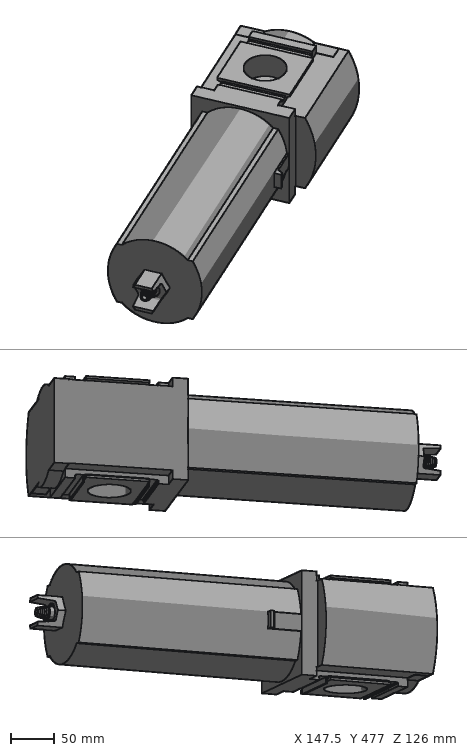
import cadquery as cq
import math


HALF_WIDTH = 61.0
HALF_HEIGHT = 123.5 / 2
STEP_HEIGHT = 51.0
COLLAR_LENGTH = 18.5
PORT_Y = 80.0
SEAM_Y = 2 * PORT_Y - COLLAR_LENGTH
CAP_END_Y = 159.5
CAP_CORNER_HEIGHT = 51.5
CAP_RADIUS = 60.0
CAP_DOME_RADIUS = 56.5
DOME_HEIGHT = 6.0

RIB_HALF_WIDTH = 39.5
CHANNEL_DEPTH = 5.0
CHANNEL_OUTER = 49.5
CHANNEL_CORNER = 1.5
PAD_HALF_WIDTH = 45.5
PAD_HALF_LENGTH = 37.5
PAD_RIM = 3.0
PAD_THICKNESS = 5.5
PORT_DIAMETER = 50.0
PORT_DEPTH = 30.5

LIP_HALF_WIDTH = 36.0
LIP_THICKNESS = 2.0
LIP_DROP = 2.5
LIP_END_Z = -HALF_HEIGHT - LIP_DROP

COVER_FRONT_Y = 20.0
COVER_REAR_Y = 160.0
COVER_HALF_HEIGHT = STEP_HEIGHT
COVER_EDGE_X = 73.0
COVER_CROWN_X = 86.5

BOWL_RADIUS = 58.5
BOWL_END_Y = -275.0
BOWL_LEDGE_Z = 42.0
BOWL_CORNER_X = 47.3
BOWL_DOME_RADIUS = 52.5

LATCH_HALF_HEIGHT = 10.0
LATCH_ROOT_X = 55.0
LATCH_FACE_X = 60.5
LATCH_TIP_X = 67.0
LATCH_HOOK_Y = -34.0
LATCH_TIP_Y = -37.5
LATCH_END_Y = -41.5

HEX_FLATS = 36.5
HEX_FACE_Y = -290.0
PRONG_END_Y = -311.5
SLOT_HALF_BASE = 12.0
SLOT_HALF_MOUTH = 14.0
SLOT_FILLET = 2.5
RECESS_DIAMETER = 23.5
RECESS_DEPTH = 2.0
SHANK_LENGTH = 4.5
NIPPLE_BASE_Y = HEX_FACE_Y - SHANK_LENGTH
NIPPLE_END_Y = -308.5
NIPPLE_RADIUS = 15.8 / 2
NIPPLE_NECK_RADIUS = 12.0 / 2
NIPPLE_NECK_LENGTH = 2.0
NIPPLE_TIP_RADIUS = 11.0 / 2
NIPPLE_BORE_DIAMETER = 6.0
NIPPLE_BORE_DEPTH = 14.5
NIPPLE_RIDGES = 5
RIDGE_DEPTH = 1.0


def box_between(x_range, y_range, z_range):
    """Box given by its limits along each axis."""
    (x0, x1), (y0, y1), (z0, z1) = x_range, y_range, z_range
    return cq.Workplane("XY").box(x1 - x0, y1 - y0, z1 - z0, centered=False).translate((x0, y0, z0))


def both_sides(half):
    return (-half, half)


def cylinder_y(radius, start_y, end_y):
    """Cylinder on the bowl axis, running from start_y toward -Y to end_y."""
    return cq.Workplane("XZ", origin=(0, start_y, 0)).circle(radius).extrude(start_y - end_y)


def dome(radius, base_y, direction):
    """Shallow spherical cap on the bowl axis, bulging along direction * Y."""
    sphere_radius = (radius**2 + DOME_HEIGHT**2) / (2 * DOME_HEIGHT)
    half_angle = math.asin(radius / sphere_radius) / 2
    middle_x = sphere_radius * math.sin(half_angle)
    middle_rise = DOME_HEIGHT - sphere_radius * (1 - math.cos(half_angle))
    return (
        cq.Workplane("XY")
        .moveTo(0, base_y)
        .lineTo(radius, base_y)
        .threePointArc((middle_x, base_y + direction * middle_rise), (0, base_y + direction * DOME_HEIGHT))
        .close()
        .revolve(360, (0, 0, 0), (0, 1, 0))
    )


def make_head():
    """Head with lowered shoulders, a full-section collar and a rounded rear cap."""
    core = box_between(both_sides(HALF_WIDTH), (0, SEAM_Y), both_sides(STEP_HEIGHT))
    collar = box_between(both_sides(HALF_WIDTH), (0, COLLAR_LENGTH), both_sides(HALF_HEIGHT))
    rib = box_between(both_sides(RIB_HALF_WIDTH), (0, SEAM_Y), both_sides(HALF_HEIGHT))
    cap = cylinder_y(CAP_RADIUS, CAP_END_Y, SEAM_Y)
    corners = box_between(both_sides(HALF_WIDTH), (SEAM_Y, CAP_END_Y), both_sides(CAP_CORNER_HEIGHT))
    cap_dome = dome(CAP_DOME_RADIUS, CAP_END_Y, 1)
    return core.union(collar).union(rib).union(cap).union(corners).union(cap_dome)


def make_channel(side):
    """Cross channel beside the upper pad, at the side = +1 or -1 end of it along Y."""
    inner = PORT_Y + side * PAD_HALF_LENGTH
    outer = PORT_Y + side * CHANNEL_OUTER
    floor_z = HALF_HEIGHT - CHANNEL_DEPTH
    corner_z = floor_z + CHANNEL_CORNER
    profile = [
        (inner, HALF_HEIGHT),
        (inner, corner_z),
        (inner + side * CHANNEL_CORNER, floor_z),
        (outer - side * CHANNEL_CORNER, floor_z),
        (outer, corner_z),
        (outer, HALF_HEIGHT),
    ]
    return cq.Workplane("YZ").polyline(profile).close().extrude(RIB_HALF_WIDTH, both=True)


def make_pad():
    """Upper port pad that overhangs the rib, its sides sloping back to the rib."""
    rim_z = HALF_HEIGHT - PAD_RIM
    root_z = HALF_HEIGHT - PAD_THICKNESS
    profile = [
        (-PAD_HALF_WIDTH, HALF_HEIGHT),
        (PAD_HALF_WIDTH, HALF_HEIGHT),
        (PAD_HALF_WIDTH, rim_z),
        (RIB_HALF_WIDTH, root_z),
        (-RIB_HALF_WIDTH, root_z),
        (-PAD_HALF_WIDTH, rim_z),
    ]
    pad = cq.Workplane("XZ").polyline(profile).close().extrude(PAD_HALF_LENGTH, both=True)
    return pad.translate((0, PORT_Y, 0))


def make_port():
    """Blind upper port hole."""
    top = cq.Workplane("XY", origin=(0, PORT_Y, HALF_HEIGHT))
    return top.circle(PORT_DIAMETER / 2).extrude(-PORT_DEPTH)


def make_lip(side):
    """Thin lip along the side = +1 or -1 end of the lower pad."""
    pad_end = PORT_Y + side * PAD_HALF_LENGTH
    y_range = sorted((pad_end, pad_end + side * LIP_THICKNESS))
    return box_between(both_sides(LIP_HALF_WIDTH), y_range, (LIP_END_Z, -STEP_HEIGHT))


def make_cover():
    """Side cover with a cylindrical outer face."""
    outline = (
        cq.Workplane("XZ", origin=(0, COVER_REAR_Y, 0))
        .moveTo(0, -COVER_HALF_HEIGHT)
        .lineTo(COVER_EDGE_X, -COVER_HALF_HEIGHT)
        .threePointArc((COVER_CROWN_X, 0), (COVER_EDGE_X, COVER_HALF_HEIGHT))
        .lineTo(0, COVER_HALF_HEIGHT)
        .close()
    )
    return outline.extrude(COVER_REAR_Y - COVER_FRONT_Y)


def make_bowl():
    """Bowl tube: round above and below, with flatter side arcs and narrow ledges between."""
    ledge_x = math.sqrt(BOWL_RADIUS**2 - BOWL_LEDGE_Z**2)
    tube = (
        cq.Workplane("XZ")
        .moveTo(-ledge_x, BOWL_LEDGE_Z)
        .threePointArc((0, BOWL_RADIUS), (ledge_x, BOWL_LEDGE_Z))
        .lineTo(BOWL_CORNER_X, BOWL_LEDGE_Z)
        .threePointArc((BOWL_RADIUS, 0), (BOWL_CORNER_X, -BOWL_LEDGE_Z))
        .lineTo(ledge_x, -BOWL_LEDGE_Z)
        .threePointArc((0, -BOWL_RADIUS), (-ledge_x, -BOWL_LEDGE_Z))
        .lineTo(-BOWL_CORNER_X, -BOWL_LEDGE_Z)
        .threePointArc((-BOWL_RADIUS, 0), (-BOWL_CORNER_X, BOWL_LEDGE_Z))
        .close()
        .extrude(-BOWL_END_Y)
    )
    return tube.union(dome(BOWL_DOME_RADIUS, BOWL_END_Y, -1))


def make_latch():
    """Latch strip along the bowl side, ending in a small hook."""
    profile = [
        (LATCH_ROOT_X, 0),
        (LATCH_FACE_X, 0),
        (LATCH_FACE_X, LATCH_HOOK_Y),
        (LATCH_TIP_X, LATCH_TIP_Y),
        (LATCH_TIP_X, LATCH_END_Y),
        (LATCH_ROOT_X, LATCH_END_Y),
    ]
    return cq.Workplane("XY").polyline(profile).close().extrude(LATCH_HALF_HEIGHT, both=True)


def make_drain():
    """Hexagonal drain body whose end is slotted into two prongs around a recess."""
    hex_corners = HEX_FLATS / math.cos(math.radians(30))
    start = cq.Workplane("XZ", origin=(0, BOWL_END_Y, 0))
    body = start.polygon(6, hex_corners).extrude(BOWL_END_Y - PRONG_END_Y)
    slot_profile = [
        (HEX_FACE_Y, SLOT_HALF_BASE),
        (PRONG_END_Y, SLOT_HALF_MOUTH),
        (PRONG_END_Y, -SLOT_HALF_MOUTH),
        (HEX_FACE_Y, -SLOT_HALF_BASE),
    ]
    slot = cq.Workplane("YZ").polyline(slot_profile).close().extrude(hex_corners, both=True)
    slot = slot.faces(">Y").edges("|X").fillet(SLOT_FILLET)
    recess = cylinder_y(RECESS_DIAMETER / 2, HEX_FACE_Y + RECESS_DEPTH, HEX_FACE_Y)
    return body.cut(slot).cut(recess)


def make_nipple():
    """Hose nipple: plain shank, narrow neck, then fine ridges that shrink toward the bored tip."""
    ridge_start_y = NIPPLE_BASE_Y - NIPPLE_NECK_LENGTH
    pitch = (ridge_start_y - NIPPLE_END_Y) / NIPPLE_RIDGES
    shrink = (NIPPLE_RADIUS - NIPPLE_TIP_RADIUS) / NIPPLE_RIDGES
    root_y = HEX_FACE_Y + RECESS_DEPTH
    points = [
        (0, root_y),
        (NIPPLE_RADIUS, root_y),
        (NIPPLE_RADIUS, NIPPLE_BASE_Y),
        (NIPPLE_NECK_RADIUS, NIPPLE_BASE_Y),
        (NIPPLE_NECK_RADIUS, ridge_start_y),
    ]
    for ridge in range(NIPPLE_RIDGES):
        crest_y = ridge_start_y - ridge * pitch
        crest_radius = NIPPLE_RADIUS - ridge * shrink
        points.append((crest_radius, crest_y))
        points.append((crest_radius - RIDGE_DEPTH, crest_y - pitch))
    points.append((0, NIPPLE_END_Y))
    nipple = cq.Workplane("XY").polyline(points).close().revolve(360, (0, 0, 0), (0, 1, 0))
    bore = cylinder_y(NIPPLE_BORE_DIAMETER / 2, NIPPLE_END_Y + NIPPLE_BORE_DEPTH, NIPPLE_END_Y)
    return nipple.cut(bore)


head = make_head()
for end in (-1, 1):
    channel = make_channel(end)
    head = head.cut(channel).cut(channel.mirror("XY"))
pad = make_pad()
port = make_port()
head = head.union(pad).union(pad.mirror("XY"))
head = head.union(make_cover())
head = head.cut(port).cut(port.mirror("XY"))
for end in (-1, 1):
    head = head.union(make_lip(end))

result = head.union(make_bowl()).union(make_latch()).union(make_drain()).union(make_nipple())